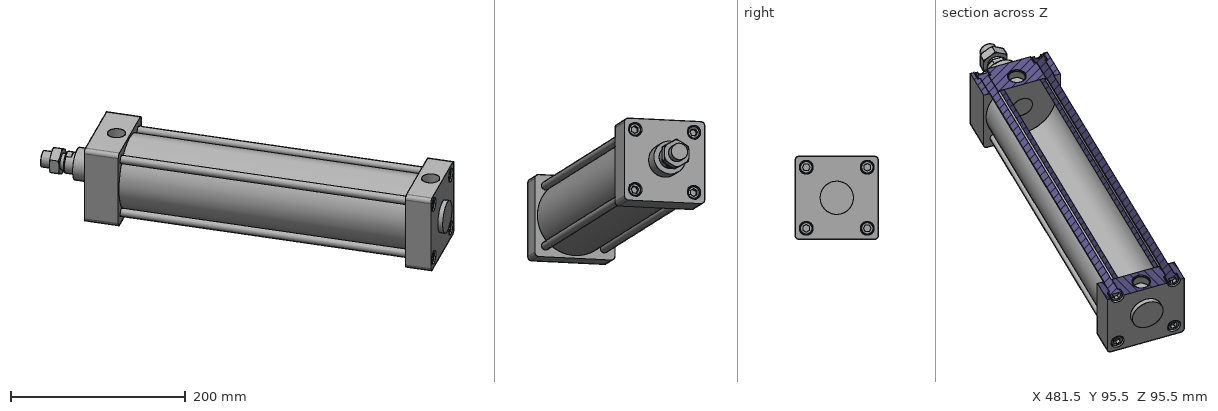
import cadquery as cq
import math

TOTAL_LENGTH = 481.5
NUT_START = 12.0
NUT_THICKNESS = 11.0
SHOULDER_X = 28.0
FLAT_END = 35.5
COLLAR_START = 41.0
FRONT_CAP_START = 63.0
FRONT_CAP_LENGTH = 40.5
REAR_CAP_LENGTH = 30.5
REAR_BOSS_LENGTH = 6.0

FRONT_CAP_END = FRONT_CAP_START + FRONT_CAP_LENGTH
REAR_CAP_END = TOTAL_LENGTH - REAR_BOSS_LENGTH
REAR_CAP_START = REAR_CAP_END - REAR_CAP_LENGTH

CAP_WIDTH = 95.5
CAP_CORNER_RADIUS = 5.0
COLLAR_DIAMETER = 38.0
PORT_DIAMETER = 20.5
PORT_BOTTOM_DIAMETER = 19.0
PORT_DEPTH = 14.5
PORT_BOTTOM_DEPTH = 24.0
FRONT_PORT_X = 87.5
REAR_PORT_X = 461.5

TUBE_DIAMETER = 89.0
BORE_DIAMETER = 82.5

ROD_DIAMETER = 25.5
THREAD_DIAMETER = 19.3
SHOULDER_CHAMFER_LENGTH = 1.5
SHOULDER_CHAMFER_DEPTH = 0.5
ROD_FLAT_WIDTH = 22.0
NUT_ACROSS_FLATS = 29.0
NUT_BEVEL_LENGTH = 1.0
NUT_BEVEL_DEPTH = 1.5

TIE_ROD_DIAMETER = 9.5
TIE_ROD_OFFSET = (TUBE_DIAMETER + TIE_ROD_DIAMETER) / 2 * math.sqrt(0.5)
HEAD_DIAMETER = 14.0
HEAD_FACE_DIAMETER = 13.0
HEAD_HEIGHT = 10.0
HEAD_RECESS = 1.5
COUNTERBORE_DIAMETER = 16.0
SOCKET_ACROSS_FLATS = 7.5
SOCKET_DEPTH = 5.0

COUNTERBORE_DEPTH = HEAD_HEIGHT + HEAD_RECESS
TIE_ROD_CENTRES = [(sy * TIE_ROD_OFFSET, sz * TIE_ROD_OFFSET) for sy in (-1, 1) for sz in (-1, 1)]


def x_plane(x, y=0, z=0):
    """Sketch plane facing +X; its local x is Y and its local y is Z."""
    return cq.Workplane("YZ", origin=(x, y, z))


def x_cylinder(diameter, start, end, y=0, z=0):
    return x_plane(start, y, z).circle(diameter / 2).extrude(end - start)


def corner_diameter(across_flats):
    return across_flats / math.cos(math.pi / 6)


def hex_prism(across_flats, start, end, y=0, z=0, turn=0):
    """Hexagonal prism along X; turn 0 puts its corners on the Y axis."""
    prism = x_plane(start, y, z).polygon(6, corner_diameter(across_flats)).extrude(end - start)
    return prism.rotate((0, y, z), (1, y, z), turn)


def make_cap_block(start, end):
    block = x_plane(start).rect(CAP_WIDTH, CAP_WIDTH).extrude(end - start)
    return block.edges("|X").fillet(CAP_CORNER_RADIUS)


def cut_tie_rod_holes(cap, start, end, seat_start, seat_end):
    """Cut the four tie-rod holes and their counterbores."""
    for y, z in TIE_ROD_CENTRES:
        cap = cap.cut(x_cylinder(TIE_ROD_DIAMETER, start, end, y, z))
        cap = cap.cut(x_cylinder(COUNTERBORE_DIAMETER, seat_start, seat_end, y, z))
    return cap


def cut_port(cap, x):
    """Cut a stepped blind port down from the top face."""
    mouth = cq.Workplane("XY", origin=(x, 0, CAP_WIDTH / 2))
    cap = cap.cut(mouth.circle(PORT_DIAMETER / 2).extrude(-PORT_DEPTH))
    return cap.cut(mouth.circle(PORT_BOTTOM_DIAMETER / 2).extrude(-PORT_BOTTOM_DEPTH))


def make_front_cap():
    cap = make_cap_block(FRONT_CAP_START, FRONT_CAP_END)
    cap = cap.union(x_cylinder(COLLAR_DIAMETER, COLLAR_START, FRONT_CAP_START))
    cap = cap.cut(x_cylinder(ROD_DIAMETER, COLLAR_START, FRONT_CAP_END))
    cap = cut_tie_rod_holes(
        cap, FRONT_CAP_START, FRONT_CAP_END, FRONT_CAP_START, FRONT_CAP_START + COUNTERBORE_DEPTH
    )
    return cut_port(cap, FRONT_PORT_X)


def make_rear_cap():
    cap = make_cap_block(REAR_CAP_START, REAR_CAP_END)
    cap = cap.union(x_cylinder(COLLAR_DIAMETER, REAR_CAP_END, TOTAL_LENGTH))
    cap = cut_tie_rod_holes(
        cap, REAR_CAP_START, REAR_CAP_END, REAR_CAP_END - COUNTERBORE_DEPTH, REAR_CAP_END
    )
    return cut_port(cap, REAR_PORT_X)


def make_tube():
    tube = x_cylinder(TUBE_DIAMETER, FRONT_CAP_END, REAR_CAP_START)
    return tube.cut(x_cylinder(BORE_DIAMETER, FRONT_CAP_END, REAR_CAP_START))


def make_piston_rod():
    """Rod with a chamfered shoulder, two wrench flats and a thinner threaded end."""
    shank = x_cylinder(ROD_DIAMETER, SHOULDER_X, FRONT_CAP_END)
    shank = shank.faces("<X").chamfer(SHOULDER_CHAMFER_LENGTH, SHOULDER_CHAMFER_DEPTH)
    flat_length = FLAT_END - SHOULDER_X
    flat_depth = (ROD_DIAMETER - ROD_FLAT_WIDTH) / 2
    for side in (-1, 1):
        flat_z = side * (ROD_FLAT_WIDTH + flat_depth) / 2
        flat_x = SHOULDER_X + flat_length / 2
        flat = cq.Workplane("XY").box(flat_length, ROD_DIAMETER, flat_depth)
        shank = shank.cut(flat.translate((flat_x, 0, flat_z)))
    return shank.union(x_cylinder(THREAD_DIAMETER, 0, SHOULDER_X))


def make_lock_nut():
    """Hexagon nut with corners up and down, bevelled on both faces."""
    nut_end = NUT_START + NUT_THICKNESS
    nut = hex_prism(NUT_ACROSS_FLATS, NUT_START, nut_end, turn=90)
    bevel = x_cylinder(corner_diameter(NUT_ACROSS_FLATS), NUT_START, nut_end)
    for face in ("<X", ">X"):
        bevel = bevel.faces(face).chamfer(NUT_BEVEL_LENGTH, NUT_BEVEL_DEPTH)
    return nut.intersect(bevel).cut(x_cylinder(THREAD_DIAMETER, NUT_START, nut_end))


def make_tie_rod(y, z):
    """Tie rod with a chamfered hexagon-socket head at each end."""
    front_face = FRONT_CAP_START + HEAD_RECESS
    rear_face = REAR_CAP_END - HEAD_RECESS
    head_chamfer = (HEAD_DIAMETER - HEAD_FACE_DIAMETER) / 2
    front_head = x_cylinder(HEAD_DIAMETER, front_face, front_face + HEAD_HEIGHT, y, z)
    rear_head = x_cylinder(HEAD_DIAMETER, rear_face - HEAD_HEIGHT, rear_face, y, z)
    rod = x_cylinder(TIE_ROD_DIAMETER, front_face + HEAD_HEIGHT, rear_face - HEAD_HEIGHT, y, z)
    rod = rod.union(front_head.faces("<X").chamfer(head_chamfer))
    rod = rod.union(rear_head.faces(">X").chamfer(head_chamfer))
    turn = 90 if y * z > 0 else 0
    for start, end in (
        (front_face, front_face + SOCKET_DEPTH),
        (rear_face - SOCKET_DEPTH, rear_face),
    ):
        rod = rod.cut(hex_prism(SOCKET_ACROSS_FLATS, start, end, y, z, turn))
    return rod


front_cap = make_front_cap()
rear_cap = make_rear_cap()
tube = make_tube()
piston_rod = make_piston_rod()
lock_nut = make_lock_nut()
tie_rods = [make_tie_rod(y, z) for y, z in TIE_ROD_CENTRES]

result = cq.Compound.makeCompound(
    [
        front_cap.val(),
        rear_cap.val(),
        tube.val(),
        piston_rod.val(),
        lock_nut.val(),
        *[tie_rod.val() for tie_rod in tie_rods],
    ]
)